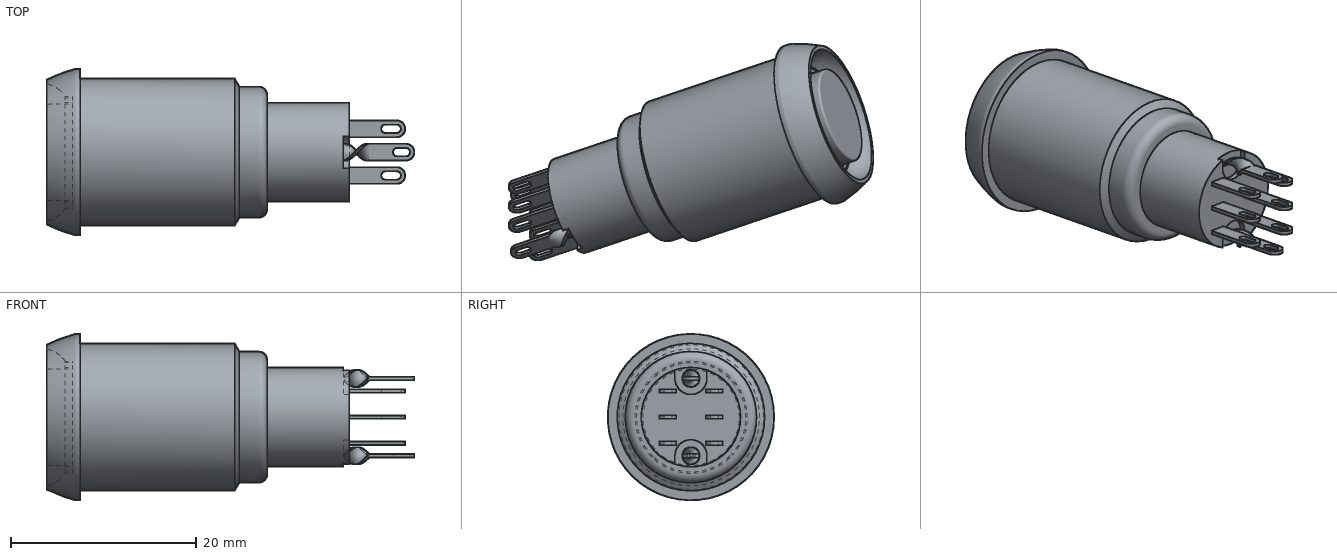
import cadquery as cq
import math

LENGTH = 39.7

BEZEL_RADIUS = 18.0 / 2
RIM_OUTER_RADIUS = 15.65 / 2
RIM_INNER_RADIUS = 14.75 / 2
BEZEL_FLARE_END = 3.1
BEZEL_BULGE = 0.08
BEZEL_END = 3.6

POCKET_RADIUS = 12.1 / 2
DISH_DEPTH = 2.0
DISH_BULGE = 0.25
SEAT_DEPTH = DISH_DEPTH + 0.8

BARREL_RADIUS = 15.9 / 2
BARREL_END = 20.3
NECK_RADIUS = 14.17 / 2
SHOULDER_END = 20.8
NECK_END = 23.82
NECK_FILLET = 0.95
REAR_RADIUS = 10.7 / 2
REAR_END = 32.67

RING_OUTER_RADIUS = 11.8 / 2
RING_INNER_RADIUS = 10.75 / 2
BUTTON_RADIUS = 10.4 / 2
BUTTON_FILLET = 0.25

BLADE_WIDTH = 1.83
BLADE_THICKNESS = 0.4
SLOT_WIDTH = 0.87
FLAT_BLADE_END = 38.7
FLAT_SLOT_LENGTH = 2.1
FLAT_BLADE_Y = 2.52
FLAT_BLADE_Z = 2.8
TWISTED_SLOT_LENGTH = 1.83
TWISTED_BLADE_Z = 4.15
TWIST_ANGLE = -180.0
TWIST_END = 34.8

ROOT_RECESS_RADIUS = 1.725
ROOT_RECESS_DEPTH = 0.65
ROOT_RECESS_FLOOR = REAR_END - ROOT_RECESS_DEPTH


def arc_middle(start, end, bulge):
    """Middle point of an arc that stands off its chord by `bulge`, to the left of start-to-end."""
    run = end[0] - start[0]
    rise = end[1] - start[1]
    chord = math.hypot(run, rise)
    return (
        (start[0] + end[0]) / 2 - bulge * rise / chord,
        (start[1] + end[1]) / 2 + bulge * run / chord,
    )


def cylinder(radius, start, end, y=0.0, z=0.0):
    """Solid cylinder along X from `start` to `end`."""
    return cq.Workplane("YZ", origin=(start, y, z)).circle(radius).extrude(end - start)


def make_shell():
    """Turned part of the housing: bezel with its dish and pocket, barrel, neck and rear cylinder."""
    dish_bottom = (DISH_DEPTH, POCKET_RADIUS)
    dish_rim = (0, RIM_INNER_RADIUS)
    flare_rim = (0, RIM_OUTER_RADIUS)
    flare_end = (BEZEL_FLARE_END, BEZEL_RADIUS)
    return (
        cq.Workplane("XY")
        .moveTo(SEAT_DEPTH, 0)
        .lineTo(SEAT_DEPTH, POCKET_RADIUS)
        .lineTo(*dish_bottom)
        .threePointArc(arc_middle(dish_rim, dish_bottom, DISH_BULGE), dish_rim)
        .lineTo(*flare_rim)
        .threePointArc(arc_middle(flare_rim, flare_end, BEZEL_BULGE), flare_end)
        .lineTo(BEZEL_END, BEZEL_RADIUS)
        .lineTo(BEZEL_END, BARREL_RADIUS)
        .lineTo(BARREL_END, BARREL_RADIUS)
        .lineTo(SHOULDER_END, NECK_RADIUS)
        .lineTo(NECK_END - NECK_FILLET, NECK_RADIUS)
        .radiusArc((NECK_END, NECK_RADIUS - NECK_FILLET), NECK_FILLET)
        .lineTo(NECK_END, REAR_RADIUS)
        .lineTo(REAR_END, REAR_RADIUS)
        .lineTo(REAR_END, 0)
        .close()
        .revolve(360, (0, 0, 0), (1, 0, 0))
    )


def make_blade(start, end, slot_length, y, z):
    """Flat terminal along X with a rounded tip and a slot concentric with the tip."""
    half_width = BLADE_WIDTH / 2
    tip_center = end - half_width
    slot_center = tip_center + SLOT_WIDTH / 2 - slot_length / 2
    bottom = z - BLADE_THICKNESS / 2
    slot = (
        cq.Workplane("XY", origin=(slot_center, y, bottom))
        .slot2D(slot_length, SLOT_WIDTH)
        .extrude(BLADE_THICKNESS)
    )
    return (
        cq.Workplane("XY", origin=(0, y, bottom))
        .moveTo(start, -half_width)
        .lineTo(tip_center, -half_width)
        .threePointArc((end, 0), (tip_center, half_width))
        .lineTo(start, half_width)
        .close()
        .extrude(BLADE_THICKNESS)
        .cut(slot)
    )


def make_twisted_blade(z):
    """Terminal whose root makes half a turn about its own axis before the flat, slotted end."""
    twist = (
        cq.Workplane("YZ", origin=(ROOT_RECESS_FLOOR, 0, z))
        .rect(BLADE_WIDTH, BLADE_THICKNESS)
        .twistExtrude(TWIST_END - ROOT_RECESS_FLOOR, TWIST_ANGLE)
    )
    return twist.union(make_blade(TWIST_END, LENGTH, TWISTED_SLOT_LENGTH, 0, z))


def make_root_recess(z):
    """Cutter for a U-shaped recess: half round about the terminal axis, straight walls going outwards."""
    outside = math.copysign(REAR_RADIUS, z)
    walls = (
        cq.Workplane("YZ", origin=(ROOT_RECESS_FLOOR, 0, (z + outside) / 2))
        .rect(2 * ROOT_RECESS_RADIUS, abs(outside - z))
        .extrude(ROOT_RECESS_DEPTH)
    )
    return cylinder(ROOT_RECESS_RADIUS, ROOT_RECESS_FLOOR, REAR_END, z=z).union(walls)


def make_housing():
    """Turned shell together with its six flat and two twisted terminals."""
    housing = make_shell()
    for z in (-TWISTED_BLADE_Z, TWISTED_BLADE_Z):
        housing = housing.cut(make_root_recess(z))
        housing = housing.union(make_twisted_blade(z))
    for y in (-FLAT_BLADE_Y, FLAT_BLADE_Y):
        for z in (-FLAT_BLADE_Z, 0, FLAT_BLADE_Z):
            housing = housing.union(make_blade(ROOT_RECESS_FLOOR, FLAT_BLADE_END, FLAT_SLOT_LENGTH, y, z))
    return housing


def make_ring():
    """Flat ring on the pocket floor, level with the bottom of the dish, clear of its neighbours."""
    ring = cylinder(RING_OUTER_RADIUS, DISH_DEPTH, SEAT_DEPTH)
    return ring.cut(cylinder(RING_INNER_RADIUS, DISH_DEPTH, SEAT_DEPTH))


def make_button():
    """Round button standing on the pocket floor, its face flush with the bezel rim."""
    return cylinder(BUTTON_RADIUS, 0, SEAT_DEPTH).faces("<X").edges().fillet(BUTTON_FILLET)


housing = make_housing()
ring = make_ring()
button = make_button()

result = cq.Compound.makeCompound([housing.val(), ring.val(), button.val()])